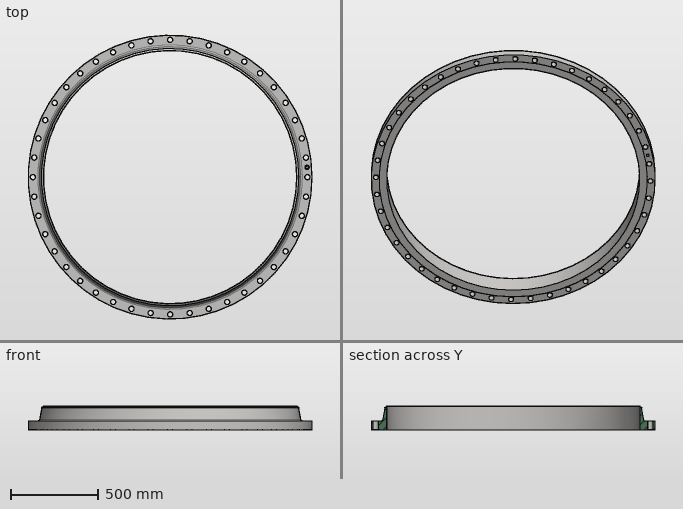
import cadquery as cq
import math


flange_diameter = 1625.6
bore_diameter = 1447.8
raised_face_diameter = 1535.0
raised_face_height = 1.6
flange_thickness = 52.4
flange_top = raised_face_height + flange_thickness

overall_height = 138.25
hub_base_diameter = 1498.6
hub_root_fillet = 9.5
weld_end_diameter = 1473.2
weld_end_height = 5.0
bevel_land = 1.6
bevel_angle = 37.5

bolt_count = 44
bolt_circle_diameter = 1571.6
bolt_hole_diameter = 28.6

stepped_hole_diameter = 25.4
stepped_hole_depth = flange_thickness / 2
pilot_diameter = 15.0
stepped_hole_angle = 360.0 / bolt_count / 2


def flange_body():
    """Revolve the ring section about Z, then round the root of the hub."""
    bore_radius = bore_diameter / 2
    flange_radius = flange_diameter / 2
    raised_face_radius = raised_face_diameter / 2
    hub_base_radius = hub_base_diameter / 2
    weld_end_radius = weld_end_diameter / 2
    land_radius = bore_radius + bevel_land
    bevel_height = (weld_end_radius - land_radius) * math.tan(math.radians(bevel_angle))
    bevel_bottom = overall_height - bevel_height

    section = (
        cq.Workplane("XZ")
        .moveTo(bore_radius, 0)
        .lineTo(raised_face_radius, 0)
        .lineTo(raised_face_radius, raised_face_height)
        .lineTo(flange_radius, raised_face_height)
        .lineTo(flange_radius, flange_top)
        .lineTo(hub_base_radius, flange_top)
        .lineTo(weld_end_radius, bevel_bottom - weld_end_height)
        .lineTo(weld_end_radius, bevel_bottom)
        .lineTo(land_radius, overall_height)
        .lineTo(bore_radius, overall_height)
        .close()
    )
    body = section.revolve(360, (0, 0, 0), (0, 1, 0))

    level_margin = raised_face_height / 2
    flange_top_level = cq.selectors.BoxSelector(
        (-flange_radius, -flange_radius, flange_top - level_margin),
        (flange_radius, flange_radius, flange_top + level_margin),
    )
    hub_root = cq.selectors.RadiusNthSelector(0)
    return body.edges("%CIRCLE").edges(flange_top_level).edges(hub_root).fillet(hub_root_fillet)


def bolt_holes():
    return (
        cq.Workplane("XY")
        .polarArray(bolt_circle_diameter / 2, 0, 360, bolt_count)
        .circle(bolt_hole_diameter / 2)
        .extrude(flange_top)
    )


def stepped_hole():
    """Counterbore in the upper flange surface with a smaller pilot hole through the flange."""
    pilot = cq.Workplane("XY").circle(pilot_diameter / 2).extrude(flange_top)
    counterbore = (
        cq.Workplane("XY")
        .workplane(offset=flange_top - stepped_hole_depth)
        .circle(stepped_hole_diameter / 2)
        .extrude(stepped_hole_depth)
    )
    cutter = pilot.union(counterbore).translate((bolt_circle_diameter / 2, 0, 0))
    return cutter.rotate((0, 0, 0), (0, 0, 1), stepped_hole_angle)


result = flange_body().cut(bolt_holes()).cut(stepped_hole())